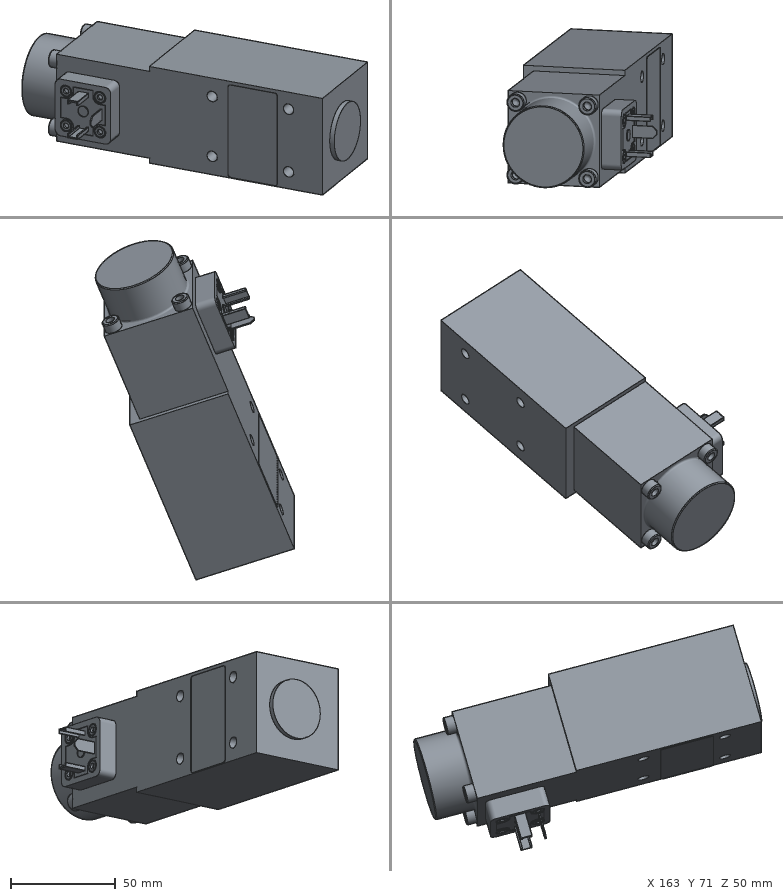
import cadquery as cq

total_length = 163.0
body_size = 50.0
body_start = 69.0
boss_length = 2.5
boss_diameter = 29.0
body_length = total_length - boss_length - body_start

coil_size = 45.0
coil_start = 19.9
axis_y = coil_size / 2

cap_diameter = 40.0
cap_chamfer = 0.5
cap_root_radius = 1.0
clamp_pitch = 35.4
clamp_head_diameter = 8.5
clamp_head_length = 4.9
clamp_head_chamfer = 0.5
clamp_socket_diameter = 4.2
clamp_socket_depth = 2.5
clamp_cone_depth = 1.1

mount_hole_diameter = 5.4
mount_hole_pairs = [(102.2, 31.0), (142.6, 32.5)]

plate_length = 26.0
plate_height = 48.0
plate_thickness = 0.3
plate_center_x = 123.7
plate_center_z = -0.7
plate_corner = 1.5

connector_x = 38.5
connector_z = -0.2
connector_size = 29.3
connector_height = 9.8
connector_corner = 3.0
cross_length = 23.5
cross_width = 10.5
cross_depth = 0.5
plug_diameter = 5.4
screw_pitch = 18.0
screw_hole_diameter = 6.0
screw_head_diameter = 5.0
screw_gap_depth = 1.6
screw_socket_diameter = 2.8
screw_socket_depth = 1.3
screw_cone_depth = 0.7

pin_tip = 21.0
channel_width = 5.5
pin_offset = 8.8
channel_depth = 2.1
channel_wall = 0.8
channel_chamfer = 0.2
blade_width = 5.9
blade_thickness = 0.7
blade_offset = 9.5
blade_tip_length = 2.0
blade_tip_width = 2.0

cross_inner_radius = (screw_pitch - cross_width) / 2
cross_floor = connector_height - cross_depth
pin_length = pin_tip - cross_floor


def cylinder_x(start, length, diameter, y=axis_y, z=0.0):
    """Cylinder along +X."""
    return cq.Workplane("YZ", origin=(start, y, z)).circle(diameter / 2).extrude(length)


def front_plane(height, x=connector_x, z=0.0):
    """Sketch plane parallel to the mounting face, facing -Y, at a height above it."""
    return cq.Workplane("XZ", origin=(x, -height, z))


def block(start, length, size):
    """Square block along +X with one side on the mounting face."""
    corner = cq.Workplane("XY", origin=(start, 0, 0))
    return corner.box(length, size, size, centered=(False, False, True))


def corner_points(pitch):
    """Corners of a centered square."""
    return [(u * pitch / 2, v * pitch / 2) for u in (-1, 1) for v in (-1, 1)]


def socket_tool(diameter, depth, cone_depth):
    """Blind socket with a conical bottom, opening at the origin and running along +Z."""
    profile = [(0, 0), (diameter / 2, 0), (diameter / 2, depth), (0, depth + cone_depth)]
    return cq.Workplane("XZ").polyline(profile).close().revolve(360, (0, 0), (0, 1))


def make_body():
    body = block(body_start, body_length, body_size)
    for x, spacing in mount_hole_pairs:
        for z in (-spacing / 2, spacing / 2):
            hole = front_plane(0, x, z).circle(mount_hole_diameter / 2).extrude(-body_size)
            body = body.cut(hole)
    boss = cylinder_x(total_length - boss_length, boss_length, boss_diameter)
    return body.union(boss)


def make_plate():
    plate = front_plane(0, plate_center_x, plate_center_z).rect(plate_length, plate_height)
    return plate.extrude(plate_thickness).edges("|Y").fillet(plate_corner)


def make_cap():
    """Turned cap: chamfered at the free end, blending into the coil block with a concave root."""
    radius = cap_diameter / 2
    profile = (
        cq.Workplane("XY")
        .lineTo(0, radius - cap_chamfer)
        .lineTo(cap_chamfer, radius)
        .lineTo(coil_start - cap_root_radius, radius)
        .radiusArc((coil_start, radius + cap_root_radius), -cap_root_radius)
        .lineTo(coil_start, 0)
        .close()
    )
    return profile.revolve(360, (0, 0), (1, 0)).translate((0, axis_y, 0))


def add_clamp_screws(part):
    head_start = coil_start - clamp_head_length
    socket = socket_tool(clamp_socket_diameter, clamp_socket_depth, clamp_cone_depth)
    socket = socket.rotate((0, 0, 0), (0, 1, 0), 90)
    for dy, z in corner_points(clamp_pitch):
        y = axis_y + dy
        head = cylinder_x(head_start, clamp_head_length, clamp_head_diameter, y, z)
        head = head.faces("<X").chamfer(clamp_head_chamfer)
        part = part.union(head).cut(socket.translate((head_start, y, z)))
    return part


def make_cross_recess():
    """Cross-shaped recess whose inner corners curve around the housing screws."""
    bar = front_plane(cross_floor).rect(cross_length, cross_width).extrude(cross_depth)
    post = front_plane(cross_floor).rect(cross_width, cross_length).extrude(cross_depth)
    reach = (cross_width + cross_length) / 4
    inner = cq.selectors.BoxSelector(
        (connector_x - reach, -connector_height, -reach),
        (connector_x + reach, -cross_floor, reach),
    )
    cross = bar.union(post).edges("|Y").edges(inner).fillet(cross_inner_radius)
    plug = front_plane(cross_floor).circle(plug_diameter / 2).extrude(cross_depth)
    return cross.cut(plug)


def make_connector():
    housing = front_plane(0).rect(connector_size, connector_size).extrude(connector_height)
    housing = housing.edges("|Y").fillet(connector_corner).cut(make_cross_recess())
    socket = socket_tool(screw_socket_diameter, screw_socket_depth, screw_cone_depth)
    socket = socket.rotate((0, 0, 0), (1, 0, 0), -90)
    for dx, z in corner_points(screw_pitch):
        x = connector_x + dx
        gap = front_plane(connector_height, x, z).circle(screw_hole_diameter / 2)
        gap = gap.circle(screw_head_diameter / 2).extrude(-screw_gap_depth)
        housing = housing.cut(gap).cut(socket.translate((x, -connector_height, z)))
    return housing


def make_channel_pin():
    """Upper U-shaped pin, open toward the connector centre."""
    pin = front_plane(cross_floor, z=pin_offset).rect(channel_width, channel_depth).extrude(pin_length)
    pin = pin.faces(">Z").edges("|Y").chamfer(channel_chamfer).faces("<Y").chamfer(channel_chamfer)
    slot_width = channel_width - 2 * channel_wall
    slot = front_plane(cross_floor, z=pin_offset - channel_wall)
    return pin.cut(slot.rect(slot_width, channel_depth).extrude(pin_length))


def make_blade_pin():
    """Flat earth blade with a tapered tip."""
    shoulder = pin_tip - blade_tip_length
    half_width = blade_width / 2
    half_tip = blade_tip_width / 2
    outline = [
        (-cross_floor, -half_width),
        (-shoulder, -half_width),
        (-pin_tip, -half_tip),
        (-pin_tip, half_tip),
        (-shoulder, half_width),
        (-cross_floor, half_width),
    ]
    plane = cq.Workplane("YZ", origin=(connector_x + blade_offset, 0, 0))
    return plane.polyline(outline).close().extrude(blade_thickness / 2, both=True)


upper_pin = make_channel_pin()
lower_pin = upper_pin.mirror("XY")

result = make_body().union(block(coil_start, body_start - coil_start, coil_size))
result = result.union(make_plate()).union(make_cap())
result = add_clamp_screws(result)
for piece in (make_connector(), upper_pin, lower_pin, make_blade_pin()):
    result = result.union(piece.translate((0, 0, connector_z)))